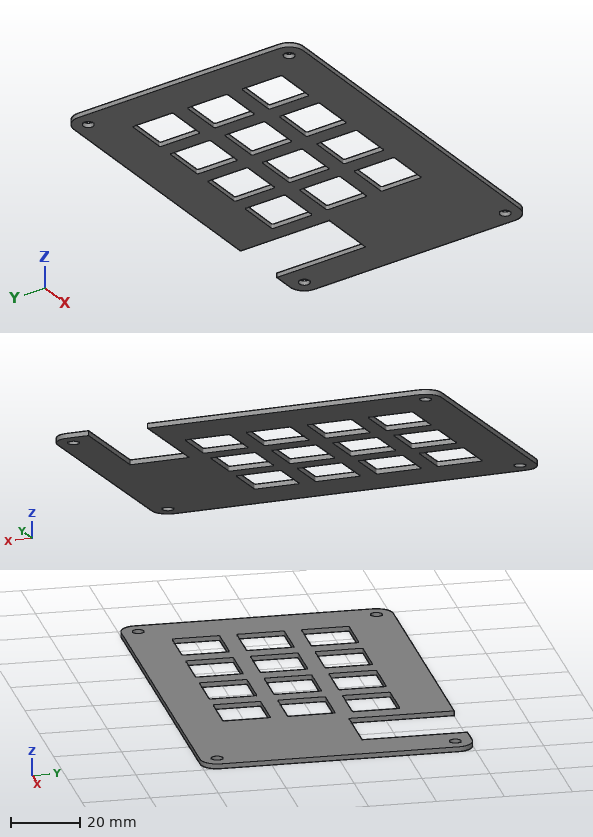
import cadquery as cq

PLATE_LENGTH = 119.96
PLATE_WIDTH = 80.13
PLATE_THICKNESS = 1.5
CORNER_RADIUS = 5.0

HOLE_DIAMETER = 3.4
HOLE_SPACING_X = PLATE_LENGTH - 2 * CORNER_RADIUS
HOLE_SPACING_Y = PLATE_WIDTH - 2 * CORNER_RADIUS

KEY_COLUMNS = 4
KEY_ROWS = 3
KEY_PITCH = 19.05
KEY_SIZE = 14.0
KEY_CORNER_RADIUS = 0.5
KEY_GRID_CENTER = (-11.2, -0.8)

NOTCH_WIDTH = 18.4
NOTCH_DEPTH = 31.0
NOTCH_CENTER_X = 39.0


def make_plate():
    """Flat plate with rounded vertical corners."""
    plate = cq.Workplane("XY").box(
        PLATE_LENGTH, PLATE_WIDTH, PLATE_THICKNESS, centered=(True, True, False)
    )
    return plate.edges("|Z").fillet(CORNER_RADIUS)


def make_mounting_holes():
    """Four through holes on a rectangle centred on the plate."""
    return (
        cq.Workplane("XY")
        .rect(HOLE_SPACING_X, HOLE_SPACING_Y, forConstruction=True)
        .vertices()
        .circle(HOLE_DIAMETER / 2)
        .extrude(PLATE_THICKNESS)
    )


def make_key_windows():
    """Grid of square through windows with slightly rounded corners."""
    return (
        cq.Workplane("XY")
        .center(*KEY_GRID_CENTER)
        .rarray(KEY_PITCH, KEY_PITCH, KEY_COLUMNS, KEY_ROWS)
        .rect(KEY_SIZE, KEY_SIZE)
        .extrude(PLATE_THICKNESS)
        .edges("|Z")
        .fillet(KEY_CORNER_RADIUS)
    )


def make_notch():
    """Through notch cut inward from the +Y edge."""
    notch_center_y = PLATE_WIDTH / 2 - NOTCH_DEPTH / 2
    return (
        cq.Workplane("XY")
        .center(NOTCH_CENTER_X, notch_center_y)
        .rect(NOTCH_WIDTH, NOTCH_DEPTH)
        .extrude(PLATE_THICKNESS)
    )


result = make_plate().cut(make_mounting_holes()).cut(make_key_windows()).cut(make_notch())